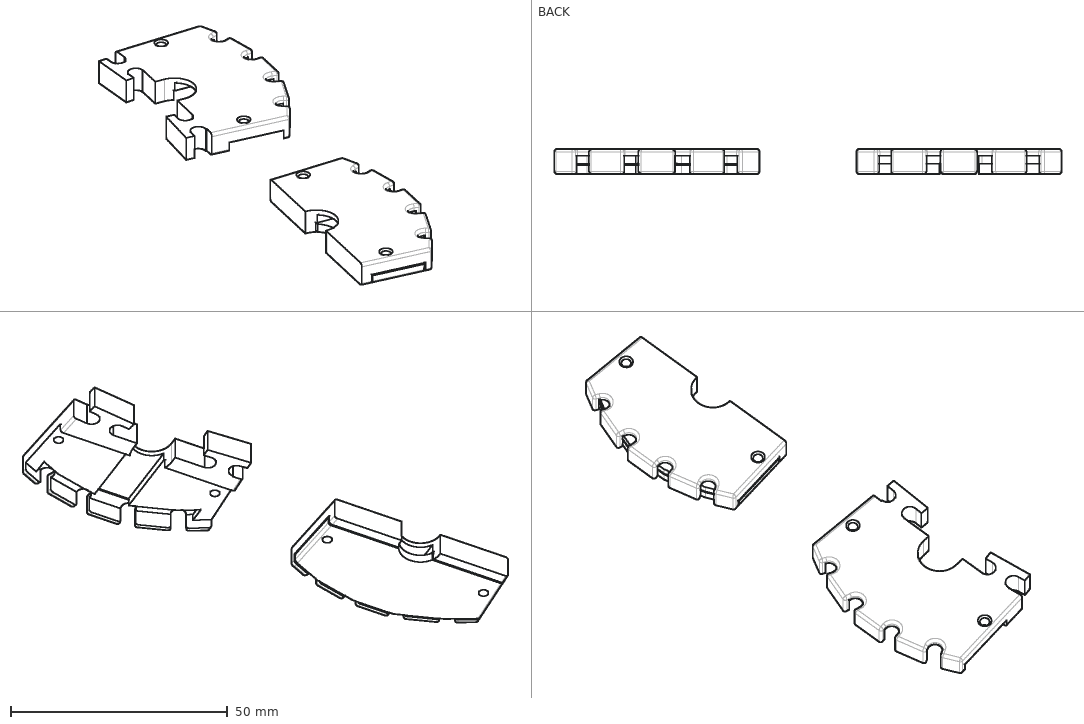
import cadquery as cq
import math


thickness = 5.9
plate_spacing = 69.7

front_corners = [(-23.6, 19.5), (-16.6, 22.8), (-5.7, 25.4), (5.3, 25.4), (17.0, 21.4), (23.8, 17.7)]
side_lean = 0.065
edge_round = 0.7
corner_round = 0.6

notches = [((-16.6, 20.7), 25), ((-5.7, 23.4), 7), ((5.7, 23.1), -14), ((16.9, 19.7), -29)]
notch_width = 3.5
notch_length = 9.4

arch_radius = 5.0
arch_center_y = 0.2
arch_depth = 5.9

hole_diameter = 2.2
hole_flare = 0.5
hole_centers = [(-20.4, 7.6), (20.1, 7.6)]

front_wall = 1.4
recess_height = 2.5
recess_rear_y = 2.5
side_overrun = 4.7
channel_width = 8.8
channel_top = 4.6

strip_top = 4.2
strip_depth = 3.5
strip_half_length = 19.9
fit_gap = 0.4

straight_rear_y = 0.0
hooked_rear_y = (-3.4, -2.0)
hooked_rear_steps = [(12.4, -1.8), (arch_radius, -1.8), (-arch_radius, -2.1), (-11.1, -2.1)]

hooks = [((-14.6, -4.5), 7), ((16.2, -3.9), -3)]
neck_width = 3.5
slot_width = 3.7
hook_width = 11.0
hook_bar = 2.1
hook_overlap = 0.5


def block(x_min, x_max, y_min, y_max, z_min, z_max):
    size = (x_max - x_min, y_max - y_min, z_max - z_min)
    return cq.Workplane("XY").box(*size, centered=False).translate((x_min, y_min, z_min))


def place(body, center, turn):
    return body.rotate((0, 0, 0), (0, 0, 1), turn).translate((*center, 0))


def side_point(corner, y):
    """Point at height y on the leaning side wall that starts at the given front corner."""
    x, corner_y = corner
    return (x - math.copysign(side_lean * (corner_y - y), x), y)


def notch_cutter(center, lean):
    half_width = notch_width / 2
    round_end = cq.Workplane("XY").circle(half_width).extrude(thickness)
    straight = block(-half_width, half_width, 0, notch_length, 0, thickness)
    return place(round_end.union(straight), center, lean)


def is_tooth_corner(edge):
    """True for an upright edge of the front teeth that is not the start of a notch's round end."""
    middle = edge.Center()
    gaps = [math.hypot(middle.x - x, middle.y - y) for (x, y), _ in notches]
    return middle.y > front_corners[-1][1] - edge_round and min(gaps) > 1.05 * notch_width / 2


def rounded_plate(rear_left_y, rear_right_y, rear_steps, notched):
    left = side_point(front_corners[0], rear_left_y)
    right = side_point(front_corners[-1], rear_right_y)
    outline = [left, *front_corners, right, *rear_steps]
    plate = cq.Workplane("XY").polyline(outline).close().extrude(thickness)
    if notched:
        for center, lean in notches:
            plate = plate.cut(notch_cutter(center, lean))
        plate = plate.edges("|Z").filter(is_tooth_corner).fillet(corner_round)
    rim = plate.faces("<Z or >Z").edges().filter(lambda edge: edge.Center().y > recess_rear_y)
    return rim.fillet(edge_round)


def area_behind_front(setback, height):
    """Block bounded in front by the fan outline moved inward, running out past both sides."""
    left, next_left = front_corners[:2]
    next_right, right = front_corners[-2:]
    left_slope = (next_left[1] - left[1]) / (next_left[0] - left[0])
    right_slope = (right[1] - next_right[1]) / (right[0] - next_right[0])
    left_x = left[0] - side_overrun
    right_x = right[0] + side_overrun
    rear_y = recess_rear_y - front_wall
    outline = [
        (left_x, rear_y),
        (left_x, left[1] - side_overrun * left_slope),
        *front_corners[1:-1],
        (right_x, right[1] + side_overrun * right_slope),
        (right_x, rear_y),
    ]
    return cq.Workplane("XY").polyline(outline).close().offset2D(-setback, "intersection").extrude(height)


def strip_band(front_setback):
    """Band that follows the fan outline behind the front wall, between recess and strip top."""
    band = area_behind_front(front_setback, strip_top)
    band = band.cut(area_behind_front(front_wall + strip_depth, strip_top))
    front_y = front_corners[2][1]
    limits = block(-strip_half_length, strip_half_length, front_y / 2, front_y, recess_height, strip_top)
    return band.intersect(limits)


def arch_cutter():
    round_top = cq.Workplane("XY").center(0, arch_center_y).circle(arch_radius).extrude(thickness)
    straight = block(-arch_radius, arch_radius, -arch_depth, arch_center_y, 0, thickness)
    return round_top.union(straight)


def drill_holes(body):
    holes = cq.Workplane("XY").pushPoints(hole_centers).circle(hole_diameter / 2).extrude(thickness)
    return body.cut(holes)


def countersink_holes(body):
    hole_radius = hole_diameter / 2
    for x, y in hole_centers:
        base = cq.Vector(x, y, thickness - hole_flare)
        cone = cq.Solid.makeCone(hole_radius, hole_radius + hole_flare, hole_flare, pnt=base)
        body = body.cut(cq.Workplane(cone))
    return body


def shell_from(plate):
    channel_front_y = front_corners[2][1] - front_wall - strip_depth
    channel = block(-channel_width / 2, channel_width / 2, recess_rear_y, channel_front_y, 0, channel_top)
    shell = plate.cut(arch_cutter())
    shell = shell.cut(area_behind_front(front_wall, recess_height))
    shell = shell.cut(channel)
    shell = shell.cut(strip_band(front_wall))
    return countersink_holes(drill_holes(shell))


def hook(center, turn):
    half_slot = slot_width / 2
    slot_offset = (neck_width + slot_width) / 2
    half_width = hook_width / 2
    bar = block(-half_width, half_width, -half_slot - hook_bar, -half_slot, 0, thickness)
    neck_end = half_slot + hook_overlap
    neck = block(-slot_offset, slot_offset, -neck_end, neck_end, 0, thickness)
    slot_ends = (
        cq.Workplane("XY").pushPoints([(-slot_offset, 0), (slot_offset, 0)])
        .circle(half_slot).extrude(thickness)
    )
    return place(bar.union(neck).cut(slot_ends), center, turn)


def make_hooked_shell():
    shell = shell_from(rounded_plate(*hooked_rear_y, hooked_rear_steps, notched=True))
    for center, turn in hooks:
        shell = shell.union(hook(center, turn))
    return shell


def make_case_shell():
    return shell_from(rounded_plate(straight_rear_y, straight_rear_y, [], notched=True))


def make_strip():
    return strip_band(front_wall + fit_gap)


def make_cover():
    plate = rounded_plate(straight_rear_y, straight_rear_y, [], notched=False)
    cover = plate.intersect(area_behind_front(front_wall + fit_gap, recess_height - fit_gap))
    return drill_holes(cover.cut(arch_cutter()))


case_offset = (plate_spacing, 0, 0)
hooked_shell = make_hooked_shell()
case_shell = make_case_shell().translate(case_offset)
strip = make_strip().translate(case_offset)
cover = make_cover().translate(case_offset)

bodies = [hooked_shell, case_shell, strip, cover]
result = cq.Compound.makeCompound([body.solids().val() for body in bodies])